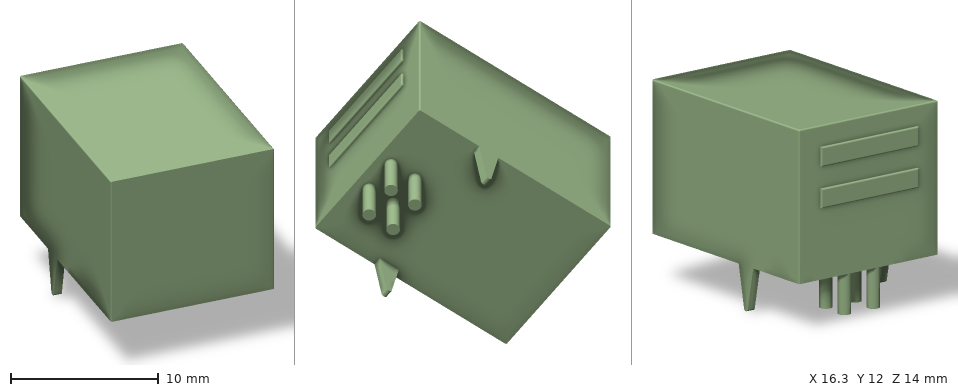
import cadquery as cq

overall_length = 16.3
bar_depth = 0.2
body_length = overall_length - bar_depth
body_width = 12.0
overall_height = 14.03
peg_length = 3.18
body_height = overall_height - peg_length
edge_radius = 0.11
rear_edge_chamfer = 0.07

bar_width = 8.4
bar_height = 1.39
bar_pitch = 2.93
bar_top_gap = 1.48
bar_count = 2
upper_bar_z = body_height - bar_top_gap - bar_height / 2

pin_diameter = 0.91
pin_length = 3.11
pin_front_x = 1.1
pin_pitch_x = 2.0
pin_pitch_y = 2.5
pins_per_row = 2

peg_x = 5.82
peg_root_width = 1.6
peg_tip_width = 0.36
peg_tip_radius = 0.2
peg_thickness = 0.6

overlap = 0.16


def make_housing():
    """Block with rounded front and side edges and lightly chamfered rear corners."""
    block = cq.Workplane("XY").box(body_length, body_width, body_height, centered=(False, True, False))
    block = block.edges("|Z and >X").chamfer(rear_edge_chamfer)
    rounded_edges = "(|Z and <X) or (<X and >Z) or (|X and >Z)"
    return block.edges(rounded_edges).fillet(edge_radius)


def make_bar(center_z):
    """Raised bar with its front outline rounded."""
    return (
        cq.Workplane("XY")
        .box(bar_depth + overlap, bar_width, bar_height)
        .faces("<X")
        .edges()
        .fillet(edge_radius)
        .translate(((overlap - bar_depth) / 2, 0, center_z))
    )


def make_pins():
    """Grid of round pins reaching down from the underside."""
    grid_center_x = pin_front_x + pin_pitch_x * (pins_per_row - 1) / 2
    return (
        cq.Workplane("XY", origin=(grid_center_x, 0, -pin_length))
        .rarray(pin_pitch_x, pin_pitch_y, pins_per_row, pins_per_row)
        .circle(pin_diameter / 2)
        .extrude(pin_length + overlap)
    )


def make_peg(center_y):
    """Flat peg that tapers downward to a rounded tip."""
    half_root = peg_root_width / 2
    half_tip = peg_tip_width / 2
    outline = [
        (-half_root, overlap),
        (-half_root, 0),
        (-half_tip, -peg_length),
        (half_tip, -peg_length),
        (half_root, 0),
        (half_root, overlap),
    ]
    return (
        cq.Workplane("XZ")
        .polyline(outline)
        .close()
        .extrude(peg_thickness / 2, both=True)
        .edges("|Y and <Z")
        .fillet(peg_tip_radius)
        .translate((peg_x, center_y, 0))
    )


result = make_housing().union(make_pins())

for bar_index in range(bar_count):
    result = result.union(make_bar(upper_bar_z - bar_index * bar_pitch))

peg_offset_y = (body_width - peg_thickness) / 2
for side in (-1, 1):
    result = result.union(make_peg(side * peg_offset_y))